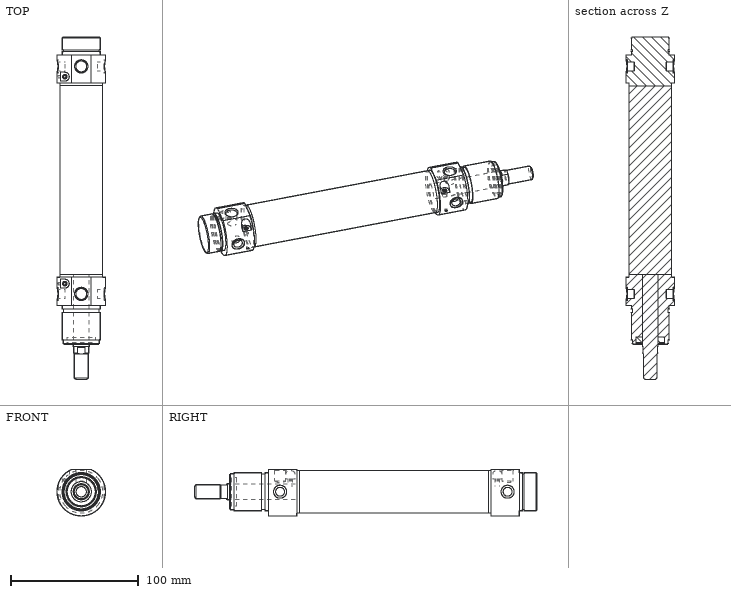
import cadquery as cq
import math


barrel_dia = 33.5
barrel_rear = 96.0
barrel_front = -52.0
collar_length = 2.0
head_dia = 38.0
head_length = 22.2
head_flat_height = 17.5
boss_dia = 30.0
groove_dia = 28.0

rear_end = 134.0
rear_chamfer = 0.8
rear_groove_start = 122.5
rear_groove_width = 1.3

front_groove_start = -78.8
front_groove_width = 2.7
nose_dia = 28.5
nose_start = -103.0
nose_end = -106.5
nose_chamfer = 0.8

port_offset = 9.0
port_dia = 8.5
port_rim_dia = 10.5
port_floor_dia = 16.5

spotface_dia = 10.2
spotface_x = 18.0
side_hole_dia = 7.0
side_hole_depth = 5.4

pocket_offset = 5.0
pocket_x = -12.9
pocket_width = 7.0
pocket_floor = 10.0
screw_dia = 3.5
screw_length = 5.4
socket_dia = 2.0
socket_depth = 1.5

vent_dia = 1.8
vent_z = -7.0
vent_depth = 1.3

wiper_dia = 22.0
wiper_seat_chamfer = 0.8
wiper_face = -105.0
wiper_rear = -101.0
wiper_hub_dia = 15.8
wiper_lip_dia = 12.5
wiper_lip_end = -108.3

rod_dia = 12.0
rod_shoulder = -114.0
flat_start = -109.0
across_flats = 10.7
stud_dia = 11.0
shoulder_chamfer = (rod_dia - stud_dia) / 2
stud_end = -134.0
stud_tip_dia = 8.0
stud_tip_length = 1.0

rear_head_front = barrel_rear + collar_length
rear_head_rear = rear_head_front + head_length
front_head_rear = barrel_front - collar_length
front_head_front = front_head_rear - head_length
screw_places = [
    (pocket_x, rear_head_front + pocket_offset),
    (pocket_x, front_head_rear - pocket_offset),
]


def cylinder(dia, start, end):
    """Cylinder on the Y axis between two Y positions."""
    return cq.Workplane("XZ", origin=(0, start, 0)).circle(dia / 2).extrude(start - end)


def turned(outline):
    """Solid of revolution about the Y axis; the outline lists (diameter, y) from the axis and back to it."""
    points = [(dia / 2, y) for dia, y in outline]
    return cq.Workplane("XY").polyline(points).close().revolve(360, (0, 0, 0), (0, 1, 0))


def head_block(start, end):
    """Round block with a flat on top."""
    above_flat = cq.Workplane("XY").box(head_dia, end - start, head_dia, centered=(True, False, False))
    return cylinder(head_dia, start, end).cut(above_flat.translate((0, start, head_flat_height)))


def port(y):
    """Countersunk hole in the flat, ending on a round core."""
    mouth = cq.Vector(0, y, head_flat_height)
    down = cq.Vector(0, 0, -1)
    sink_depth = (port_rim_dia - port_dia) / 2
    drill = cq.Solid.makeCylinder(port_dia / 2, head_flat_height, mouth, down)
    sink = cq.Solid.makeCone(port_rim_dia / 2, port_dia / 2, sink_depth, mouth, down)
    core = cylinder(port_floor_dia, y - port_dia, y + port_dia)
    return cq.Workplane(drill.fuse(sink)).cut(core)


def mounting_hole(y, side):
    """Blind hole with a spotface; side is -1 or 1 for the -X or +X side."""
    seat = cq.Vector(side * spotface_x, y, 0)
    outward = cq.Vector(side, 0, 0)
    spotface = cq.Solid.makeCylinder(spotface_dia / 2, head_dia / 2 - spotface_x, seat, outward)
    drill = cq.Solid.makeCylinder(side_hole_dia / 2, side_hole_depth, seat, -outward)
    return cq.Workplane(spotface.fuse(drill))


def screw_pocket(y):
    """Flat-floored slot with a round inner end, open towards -X, with the screw's hole in its floor."""
    floor = cq.Workplane("XY", origin=(pocket_x, y, pocket_floor))
    round_end = floor.circle(pocket_width / 2).extrude(head_dia)
    opening = cq.Workplane("XY").box(head_dia, pocket_width, head_dia, centered=(False, True, False))
    opening = opening.translate((pocket_x - head_dia, y, pocket_floor))
    return round_end.union(opening).union(screw_blank(pocket_x, y))


def vent(y):
    """Small blind hole in the -X side."""
    surface_x = math.sqrt((head_dia / 2) ** 2 - vent_z ** 2)
    floor = cq.Vector(vent_depth - surface_x, y, vent_z)
    return cq.Workplane(cq.Solid.makeCylinder(vent_dia / 2, head_dia / 2, floor, cq.Vector(-1, 0, 0)))


def screw_blank(x, y):
    """Plain cylinder that fills the screw's hole."""
    return cq.Workplane("XY", origin=(x, y, pocket_floor)).circle(screw_dia / 2).extrude(-screw_length)


def cut_head_features(head, port_y, pocket_y):
    """Features that both heads share."""
    head = head.cut(port(port_y))
    for side in (-1, 1):
        head = head.cut(mounting_hole(port_y, side))
    return head.cut(screw_pocket(pocket_y)).cut(vent(pocket_y))


def make_rear_head():
    groove_end = rear_groove_start + rear_groove_width
    boss = turned([
        (0, rear_head_rear),
        (boss_dia, rear_head_rear),
        (boss_dia, rear_groove_start),
        (groove_dia, rear_groove_start),
        (groove_dia, groove_end),
        (boss_dia, groove_end),
        (boss_dia, rear_end - rear_chamfer),
        (boss_dia - 2 * rear_chamfer, rear_end),
        (0, rear_end),
    ])
    collar = cylinder(barrel_dia, barrel_rear, rear_head_front)
    head = head_block(rear_head_front, rear_head_rear).union(collar).union(boss)
    return cut_head_features(head, rear_head_rear - port_offset, rear_head_front + pocket_offset)


def make_front_head():
    groove_end = front_groove_start - front_groove_width
    boss = turned([
        (0, front_head_front),
        (boss_dia, front_head_front),
        (boss_dia, front_groove_start),
        (groove_dia, front_groove_start),
        (groove_dia, groove_end),
        (boss_dia, groove_end),
        (boss_dia, nose_start),
        (nose_dia, nose_start),
        (nose_dia, nose_end + nose_chamfer),
        (nose_dia - 2 * nose_chamfer, nose_end),
        (0, nose_end),
    ])
    wiper_seat = turned([
        (0, wiper_rear),
        (wiper_dia, wiper_rear),
        (wiper_dia, nose_end + wiper_seat_chamfer),
        (wiper_dia + 2 * wiper_seat_chamfer, nose_end),
        (0, nose_end),
    ])
    rod_bore = cylinder(rod_dia, nose_end, barrel_front)
    collar = cylinder(barrel_dia, front_head_rear, barrel_front)
    head = head_block(front_head_front, front_head_rear).union(collar).union(boss)
    head = head.cut(wiper_seat).cut(rod_bore)
    return cut_head_features(head, front_head_front + port_offset, front_head_rear - pocket_offset)


def make_wiper():
    """Ring with a conical hub that narrows to a thin lip around the rod."""
    body = turned([
        (0, wiper_rear),
        (wiper_dia, wiper_rear),
        (wiper_dia, wiper_face),
        (wiper_hub_dia, wiper_face),
        (wiper_lip_dia, nose_end),
        (wiper_lip_dia, wiper_lip_end),
        (0, wiper_lip_end),
    ])
    return body.cut(cylinder(rod_dia, wiper_lip_end, wiper_rear))


def make_rod():
    """Rod that ends at the barrel, with two wrench flats and a thinner stud in front."""
    rod = turned([
        (0, barrel_front),
        (rod_dia, barrel_front),
        (rod_dia, rod_shoulder + shoulder_chamfer),
        (stud_dia, rod_shoulder),
        (stud_dia, stud_end + stud_tip_length),
        (stud_tip_dia, stud_end),
        (0, stud_end),
    ])
    flat_length = flat_start - rod_shoulder
    beyond_flat = cq.Workplane("XY").box(rod_dia, flat_length, rod_dia, centered=(True, False, True))
    for side in (-1, 1):
        rod = rod.cut(beyond_flat.translate((0, rod_shoulder, side * (across_flats + rod_dia) / 2)))
    return rod


def make_cushion_screw(x, y):
    socket = cq.Workplane("XY", origin=(x, y, pocket_floor)).polygon(6, socket_dia).extrude(-socket_depth)
    return screw_blank(x, y).cut(socket)


barrel = cylinder(barrel_dia, barrel_front, barrel_rear)
rear_head = make_rear_head()
front_head = make_front_head()
wiper = make_wiper()
rod = make_rod()
cushion_screws = [make_cushion_screw(x, y) for x, y in screw_places]

result = cq.Compound.makeCompound([
    barrel.val(),
    rear_head.val(),
    front_head.val(),
    wiper.val(),
    rod.val(),
    *[screw.val() for screw in cushion_screws],
])